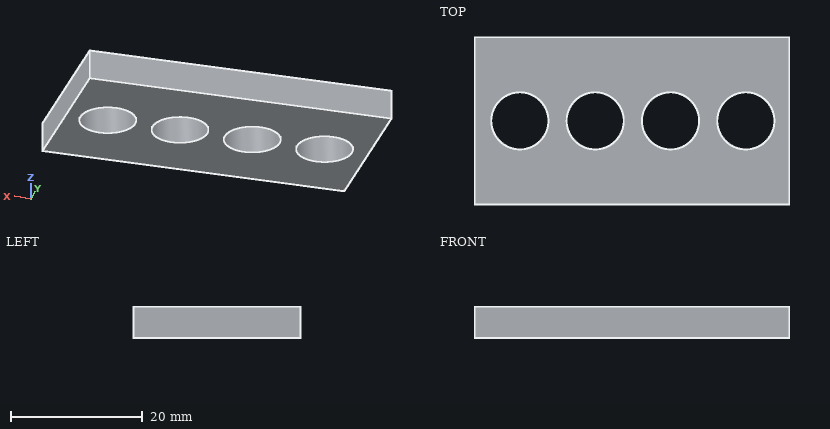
import cadquery as cq

length = 47.75
width = 25.4
thickness = 4.75

hole_diameter = 8.64
hole_count = 4
hole_pitch = 11.43
row_offset_x = 0.13


def make_plate():
    return cq.Workplane("XY").box(length, width, thickness, centered=(True, True, False))


def drill_hole_row(plate):
    row = plate.faces(">Z").workplane(origin=(row_offset_x, 0, thickness))
    return row.rarray(hole_pitch, 1, hole_count, 1).hole(hole_diameter)


result = drill_hole_row(make_plate())